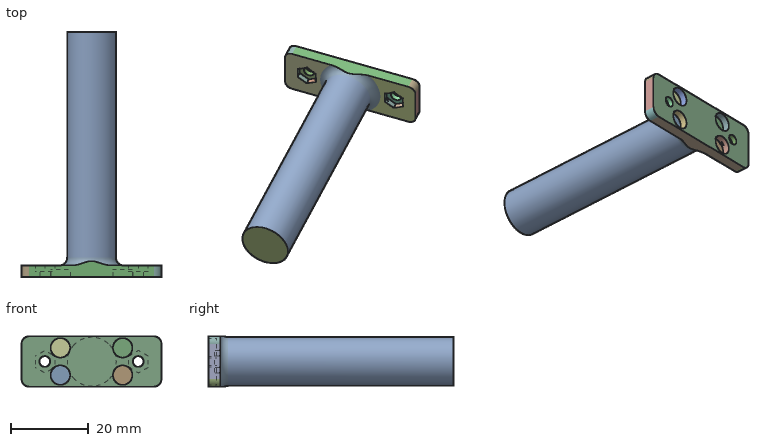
import cadquery as cq

import math

PLATE_WIDTH = 36.0
PLATE_HEIGHT = 13.0
PLATE_THICKNESS = 3.0
CORNER_RADIUS = 2.0

TOTAL_LENGTH = 63.0
POST_DIAMETER = 12.6
ROOT_FILLET_RADIUS = 2.0

SCREW_HOLE_DIAMETER = 2.7
SCREW_SPACING = 24.0
NUT_WIDTH_ACROSS_FLATS = 5.0
NUT_POCKET_DEPTH = 1.5
NUT_SIDES = 6

POCKET_DIAMETER = 5.0
POCKET_DEPTH = 2.0
POCKET_SPACING_X = 16.0
POCKET_SPACING_Z = 7.0


def rounded_block(length):
    """Block with the plate's rounded outline, running from Y = 0 to Y = length."""
    return (
        cq.Workplane("XZ")
        .rect(PLATE_WIDTH, PLATE_HEIGHT)
        .extrude(-length)
        .edges("|Y")
        .fillet(CORNER_RADIUS)
    )


def plate_with_post():
    """Plate and post joined by a root fillet that is cut flush with the plate's long edges."""
    oversize_base = cq.Workplane("XZ").rect(PLATE_WIDTH, PLATE_WIDTH).extrude(-PLATE_THICKNESS)
    post = cq.Workplane("XZ").circle(POST_DIAMETER / 2).extrude(-TOTAL_LENGTH)
    root_point = (0, PLATE_THICKNESS, 0)
    body = (
        oversize_base.union(post)
        .edges(cq.selectors.NearestToPointSelector(root_point))
        .fillet(ROOT_FILLET_RADIUS)
    )
    return body.intersect(rounded_block(TOTAL_LENGTH))


def screw_holes():
    """Cylinders through the plate at the two screw positions."""
    return (
        cq.Workplane("XZ")
        .rarray(SCREW_SPACING, 1, 2, 1)
        .circle(SCREW_HOLE_DIAMETER / 2)
        .extrude(-PLATE_THICKNESS)
    )


def nut_pocket(center_x):
    """Hexagonal prism sunk from the back face, with two of its flats facing +X and -X."""
    half_side_angle = 180 / NUT_SIDES
    width_across_corners = NUT_WIDTH_ACROSS_FLATS / math.cos(math.radians(half_side_angle))
    return (
        cq.Workplane("XZ")
        .polygon(NUT_SIDES, width_across_corners)
        .extrude(NUT_POCKET_DEPTH)
        .rotate((0, 0, 0), (0, 1, 0), half_side_angle)
        .translate((center_x, PLATE_THICKNESS, 0))
    )


def front_pockets():
    """Four round blind pockets sunk from the front face."""
    return (
        cq.Workplane("XZ")
        .rarray(POCKET_SPACING_X, POCKET_SPACING_Z, 2, 2)
        .circle(POCKET_DIAMETER / 2)
        .extrude(-POCKET_DEPTH)
    )


result = plate_with_post().cut(screw_holes()).cut(front_pockets())
for side in (-1, 1):
    result = result.cut(nut_pocket(side * SCREW_SPACING / 2))